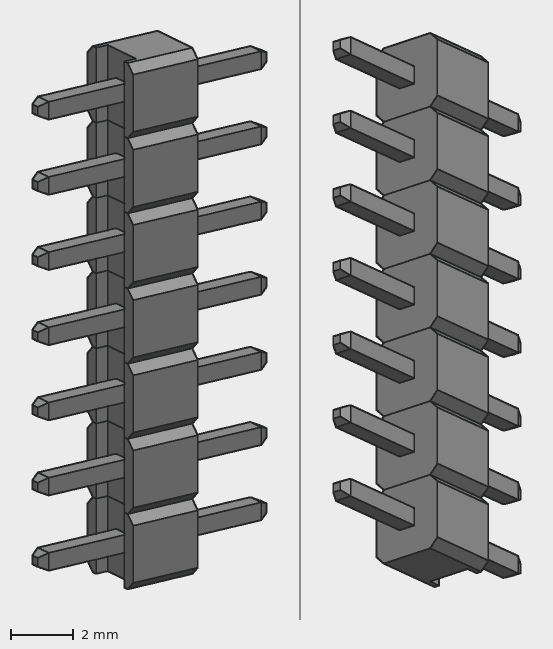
import cadquery as cq
import math

OVERALL_LENGTH = 17.78
SECTION_COUNT = 7
PITCH = OVERALL_LENGTH / SECTION_COUNT

HOUSING_WIDTH = PITCH
HOUSING_DEPTH = 2.5
CORNER_CHAMFER = 0.3
CHANNEL_WIDTH = 1.56
CHANNEL_DEPTH = 0.45

PIN_SIZE = 0.6
PIN_TIP_SIZE = PIN_SIZE / 2
PIN_TIP_LENGTH = 0.32
PIN_FRONT_REACH = 2.92
PIN_BACK_REACH = 3.45

FRONT_Y = -HOUSING_DEPTH / 2
BACK_Y = HOUSING_DEPTH / 2
PIN_FRONT_Y = FRONT_Y - PIN_FRONT_REACH
PIN_BACK_Y = BACK_Y + PIN_BACK_REACH


def make_housing():
    """Block with chamfered corners and an open channel along Z in its front face."""
    block = cq.Workplane("XY").box(HOUSING_WIDTH, HOUSING_DEPTH, PITCH).edges("|Y").chamfer(CORNER_CHAMFER)
    channel = (
        cq.Workplane("XY")
        .box(CHANNEL_WIDTH, CHANNEL_DEPTH, PITCH)
        .translate((0, FRONT_Y + CHANNEL_DEPTH / 2, 0))
    )
    return block.cut(channel)


def make_pin_tip(base_y, direction):
    """Tapered point that starts at base_y and narrows along Y; direction is +1 or -1."""
    taper_angle = math.degrees(math.atan2((PIN_SIZE - PIN_TIP_SIZE) / 2, PIN_TIP_LENGTH))
    base = cq.Plane(origin=(0, base_y, 0), xDir=(1, 0, 0), normal=(0, direction, 0))
    return cq.Workplane(base).rect(PIN_SIZE, PIN_SIZE).extrude(PIN_TIP_LENGTH, taper=taper_angle)


def make_pin():
    """Straight square shank with a point on both ends."""
    shank_front_y = PIN_FRONT_Y + PIN_TIP_LENGTH
    shank_back_y = PIN_BACK_Y - PIN_TIP_LENGTH
    shank = (
        cq.Workplane("XY")
        .box(PIN_SIZE, shank_back_y - shank_front_y, PIN_SIZE)
        .translate((0, (shank_front_y + shank_back_y) / 2, 0))
    )
    return shank.union(make_pin_tip(shank_front_y, -1)).union(make_pin_tip(shank_back_y, 1))


def make_section(center_z):
    """One header section: a housing and its pin as a single solid."""
    return make_housing().union(make_pin()).translate((0, 0, center_z))


sections = []
for index in range(SECTION_COUNT):
    section_z = (index - (SECTION_COUNT - 1) / 2) * PITCH
    sections.append(make_section(section_z).val())

result = cq.Compound.makeCompound(sections)